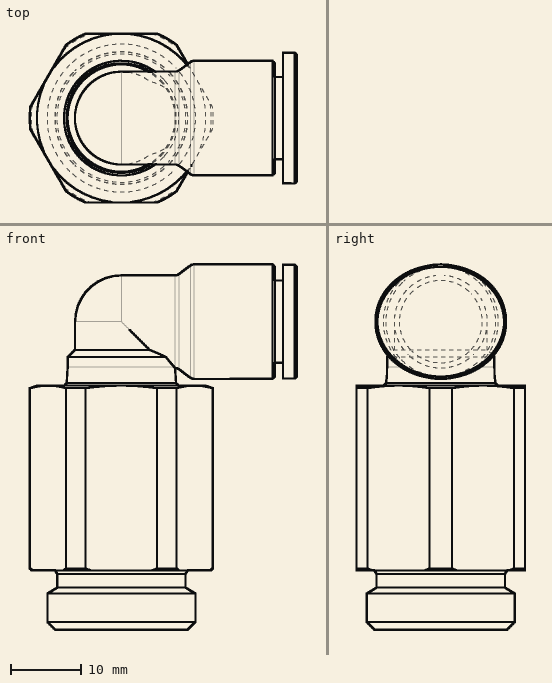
import cadquery as cq
import math


foot_radius = 10.55
foot_bottom_chamfer = 1.15
foot_shoulder_z = 5.15
foot_neck_radius = 9.15
foot_neck_bottom_z = 6.05
foot_neck_top_z = 7.95
foot_flare = 0.3

hex_bottom_z = 8.45
hex_height = 26.25
hex_across_flats = 24.0
hex_corner_radius = 13.05
hex_top_bevel_height = 0.35
hex_bottom_bevel = 0.25
hex_top_z = hex_bottom_z + hex_height

stem_base_height = 0.35
stem_base_radius = 8.15
stem_lower_radius = 7.8
stem_upper_radius = 7.65
stem_taper_top_z = 37.35
stem_shoulder_z = 38.75

elbow_radius = 6.6
outlet_radius = 8.15
outlet_axis_z = 51.95 - outlet_radius
cone_start_x = 7.95
cone_end_x = 10.05
cone_blend_radius = 0.9
outlet_end_x = 21.8
outlet_end_chamfer = 0.35

cone_zone_margin = 0.5
cone_zone_reach = outlet_radius + cone_zone_margin

sleeve_neck_radius = 5.85
collar_start_x = 22.95
collar_end_x = 24.95
collar_half_width = 9.3
collar_half_height = 8.1
collar_chamfer = 0.3


def revolve_about_z(profile):
    """Solid of revolution from (radius, z) points, starting and ending on the Z axis."""
    return cq.Workplane("XZ").polyline(profile).close().revolve(360, (0, 0), (0, 1))


def make_foot():
    return revolve_about_z([
        (0, 0),
        (foot_radius - foot_bottom_chamfer, 0),
        (foot_radius, foot_bottom_chamfer),
        (foot_radius, foot_shoulder_z),
        (foot_neck_radius, foot_neck_bottom_z),
        (foot_neck_radius, foot_neck_top_z),
        (foot_neck_radius + foot_flare, hex_bottom_z),
        (0, hex_bottom_z),
    ])


def make_hex_body():
    """Hexagon with corners on the X axis, its corners turned round and bevelled at both ends."""
    across_corners = hex_across_flats / math.cos(math.pi / 6)
    hexagon = (
        cq.Workplane("XY")
        .workplane(offset=hex_bottom_z)
        .polygon(6, across_corners)
        .extrude(hex_height)
    )
    turned_blank = revolve_about_z([
        (0, hex_bottom_z),
        (hex_corner_radius - hex_bottom_bevel, hex_bottom_z),
        (hex_corner_radius, hex_bottom_z + hex_bottom_bevel),
        (hex_corner_radius, hex_top_z - hex_top_bevel_height),
        (hex_across_flats / 2, hex_top_z),
        (0, hex_top_z),
    ])
    return hexagon.intersect(turned_blank)


def make_stem():
    """Stem up to the elbow centre; the shoulder narrows to the elbow radius at 45 degrees."""
    shoulder_height = stem_upper_radius - elbow_radius
    return revolve_about_z([
        (0, hex_top_z),
        (stem_base_radius, hex_top_z),
        (stem_lower_radius, hex_top_z + stem_base_height),
        (stem_upper_radius, stem_taper_top_z),
        (stem_upper_radius, stem_shoulder_z),
        (elbow_radius, stem_shoulder_z + shoulder_height),
        (elbow_radius, outlet_axis_z),
        (0, outlet_axis_z),
    ])


def make_elbow():
    return cq.Workplane("XY").sphere(elbow_radius).translate((0, 0, outlet_axis_z))


def make_outlet():
    """Arm that widens through a blended cone into the outlet barrel."""
    profile = [
        (0, 0),
        (0, elbow_radius),
        (cone_start_x, elbow_radius),
        (cone_end_x, outlet_radius),
        (outlet_end_x - outlet_end_chamfer, outlet_radius),
        (outlet_end_x, outlet_radius - outlet_end_chamfer),
        (outlet_end_x, 0),
    ]
    arm = cq.Workplane("XZ").polyline(profile).close().revolve(360, (0, 0), (1, 0))
    cone_zone = cq.selectors.BoxSelector(
        (cone_start_x - cone_zone_margin, -cone_zone_reach, -cone_zone_reach),
        (cone_end_x + cone_zone_margin, cone_zone_reach, cone_zone_reach),
        boundingbox=True,
    )
    cone_end_circles = arm.edges(cone_zone).edges("%CIRCLE")
    return cone_end_circles.fillet(cone_blend_radius).translate((0, 0, outlet_axis_z))


def make_release_sleeve():
    neck = (
        cq.Workplane("YZ", origin=(outlet_end_x, 0, outlet_axis_z))
        .circle(sleeve_neck_radius)
        .extrude(collar_start_x - outlet_end_x)
    )
    collar = (
        cq.Workplane("YZ", origin=(collar_start_x, 0, outlet_axis_z))
        .ellipse(collar_half_width, collar_half_height)
        .extrude(collar_end_x - collar_start_x)
        .faces(">X")
        .chamfer(collar_chamfer)
    )
    return neck.union(collar)


result = (
    make_foot()
    .union(make_hex_body())
    .union(make_stem())
    .union(make_elbow())
    .union(make_outlet())
    .union(make_release_sleeve())
)